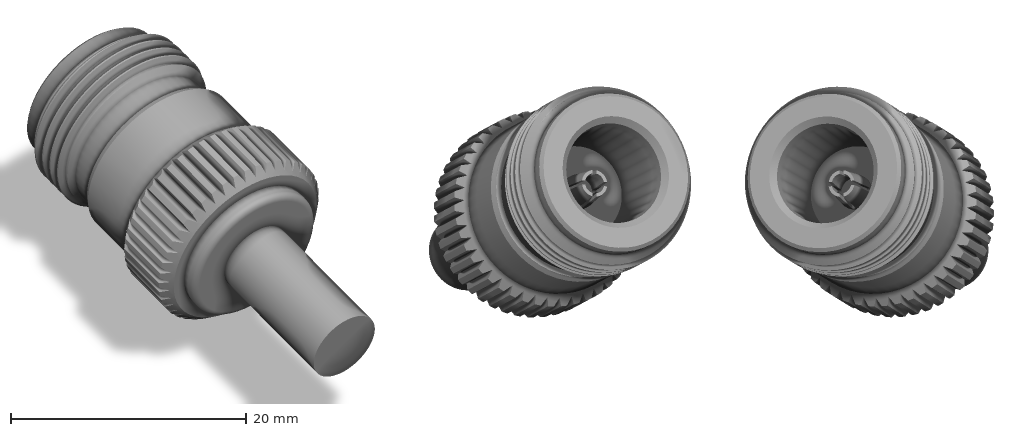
import cadquery as cq
import math


thread_start = 1.5
thread_end = 7.15
body_start = 9.4
ring_start = 15.27
ring_end = 22.05
collar_end = 23.45
total_length = 36.1

neck_radius = 6.85
face_chamfer = 0.3
body_radius = 15.2 / 2
body_chamfer_length = 0.5
body_chamfer_height = 0.3
collar_radius = 12.95 / 2
collar_fillet = 0.55
tube_radius = 3.25

thread_crest_radius = 7.9
thread_root_radius = 7.35
three_pitch_length = 3.18
thread_pitch = three_pitch_length / 3
thread_crest_width = 0.15
thread_base_width = 0.75
thread_top_crest = 2.55
root_overlap = 0.07
trim_clearance = 0.15

ring_radius = 17.0 / 2
ring_front_chamfer_length = 0.97
ring_rear_chamfer_length = 0.9
knurl_count = 45
knurl_root_radius = 7.87
knurl_width = 0.65
cutter_clearance = 0.35
knurl_angle_step = 360.0 / knurl_count

socket_depth = 9.02
socket_mouth_radius = 4.85
socket_front_radius = 8.63 / 2
socket_floor_radius = 7.98 / 2
socket_chamfer = socket_mouth_radius - socket_front_radius

insulator_radius = 6.95 / 2
insulator_length = 5.4
insulator_end = socket_depth + insulator_length
pin_radius = 3.0 / 2
pin_tip = 5.05
finger_length = 3.6
finger_end = pin_tip + finger_length
finger_tip_radius = 1.15
finger_bore_tip_radius = 0.85
finger_bore_end_radius = 1.15
slot_width = 0.35


def turned(profile):
    """Revolve a closed list of (x, radius) points about the X axis."""
    return cq.Workplane("XY").polyline(profile).close().revolve(360, (0, 0, 0), (1, 0, 0))


def cylinder(start, end, radius):
    """Solid cylinder on the X axis from start to end."""
    return cq.Workplane("YZ", origin=(start, 0, 0)).circle(radius).extrude(end - start)


def housing_blank():
    """Turned outside of the housing, without the thread and the knurled ring."""
    return turned([
        (0, 0),
        (0, neck_radius - face_chamfer),
        (face_chamfer, neck_radius),
        (body_start, neck_radius),
        (body_start, body_radius - body_chamfer_height),
        (body_start + body_chamfer_length, body_radius),
        (ring_end, body_radius),
        (ring_end, tube_radius),
        (total_length, tube_radius),
        (total_length, 0),
    ])


def thread_envelope(radius):
    """Cylinder of the given radius with 45 degree ends that run down to the neck."""
    rise = radius - neck_radius
    return turned([
        (thread_start, 0),
        (thread_start, neck_radius),
        (thread_start + rise, radius),
        (thread_end - rise, radius),
        (thread_end, neck_radius),
        (thread_end, 0),
    ])


def thread():
    """Threaded barrel: a helical ridge on a core, trimmed by the chamfered envelope."""
    flank_slope = (thread_base_width - thread_crest_width) / 2 / (thread_crest_radius - thread_root_radius)
    half_crest = thread_crest_width / 2
    half_base = thread_base_width / 2 + root_overlap * flank_slope
    base_radius = thread_root_radius - root_overlap

    pitches_before = math.ceil((thread_top_crest - thread_start) / thread_pitch) + 1
    ridge_start = thread_top_crest - pitches_before * thread_pitch
    turns = math.ceil((thread_end - ridge_start) / thread_pitch) + 1
    helix = cq.Wire.makeHelix(thread_pitch, turns * thread_pitch, base_radius)
    ridge = (
        cq.Workplane("XZ")
        .polyline([
            (base_radius, -half_base),
            (thread_crest_radius, -half_crest),
            (thread_crest_radius, half_crest),
            (base_radius, half_base),
        ])
        .close()
        .sweep(cq.Workplane(obj=helix), isFrenet=True)
        .rotate((0, 0, 0), (0, 1, 0), 90)
        .rotate((0, 0, 0), (1, 0, 0), 180)
        .translate((ridge_start, 0, 0))
    )
    core = thread_envelope(thread_root_radius)
    return core.union(ridge.intersect(thread_envelope(thread_crest_radius + trim_clearance)))


def knurled_ring():
    """Chamfered ring with V grooves along the axis; one land is centred on -Y."""
    ring = turned([
        (ring_start, 0),
        (ring_start, body_radius),
        (ring_start + ring_front_chamfer_length, ring_radius),
        (ring_end - ring_rear_chamfer_length, ring_radius),
        (ring_end, body_radius),
        (ring_end, 0),
    ])
    flank_slope = knurl_width / 2 / (ring_radius - knurl_root_radius)
    cutter_radius = ring_radius + cutter_clearance
    cutter_half_width = (cutter_radius - knurl_root_radius) * flank_slope
    cutter = (
        cq.Workplane("YZ", origin=(ring_start, 0, 0))
        .polyline([
            (-knurl_root_radius, 0),
            (-cutter_radius, cutter_half_width),
            (-cutter_radius, -cutter_half_width),
        ])
        .close()
        .extrude(ring_end - ring_start)
    )
    grooves = []
    for index in range(knurl_count):
        angle = (index + 0.5) * knurl_angle_step
        grooves.append(cutter.rotate((0, 0, 0), (1, 0, 0), angle).val())
    return ring.cut(cq.Workplane(obj=cq.Compound.makeCompound(grooves)))


def rear_collar():
    """Collar behind the knurled ring with a rounded rear edge."""
    return cylinder(ring_end, collar_end, collar_radius).faces(">X").edges().fillet(collar_fillet)


def housing_cavity():
    """Chamfered, tapered socket and the hole behind it that holds the insulator."""
    return turned([
        (0, 0),
        (0, socket_mouth_radius),
        (socket_chamfer, socket_front_radius),
        (socket_depth, socket_floor_radius),
        (socket_depth, insulator_radius),
        (insulator_end, insulator_radius),
        (insulator_end, 0),
    ])


def make_housing():
    solid = housing_blank().union(rear_collar()).union(thread()).union(knurled_ring())
    return solid.cut(housing_cavity())


def make_insulator():
    """Sleeve between the housing and the contact pin."""
    return cylinder(socket_depth, insulator_end, insulator_radius).cut(
        cylinder(socket_depth, insulator_end, pin_radius)
    )


def finger_slot():
    """Slot across the whole pin with a round closed end."""
    slot_radius = slot_width / 2
    straight_length = finger_length - slot_radius
    straight = (
        cq.Workplane("XY")
        .box(straight_length, 2 * pin_radius, slot_width, centered=(False, True, True))
        .translate((pin_tip, 0, 0))
    )
    round_end = (
        cq.Workplane("XZ")
        .center(pin_tip + straight_length, 0)
        .circle(slot_radius)
        .extrude(pin_radius, both=True)
    )
    return straight.union(round_end)


def make_pin():
    """Contact pin whose four fingers taper towards the tip around a tapered bore."""
    pin = turned([
        (pin_tip, finger_bore_tip_radius),
        (pin_tip, finger_tip_radius),
        (finger_end, pin_radius),
        (insulator_end, pin_radius),
        (insulator_end, 0),
        (finger_end, 0),
        (finger_end, finger_bore_end_radius),
    ])
    for angle in (0, 90):
        pin = pin.cut(finger_slot().rotate((0, 0, 0), (1, 0, 0), angle))
    return pin


housing = make_housing()
insulator = make_insulator()
pin = make_pin()

result = cq.Compound.makeCompound([housing.val(), insulator.val(), pin.val()])